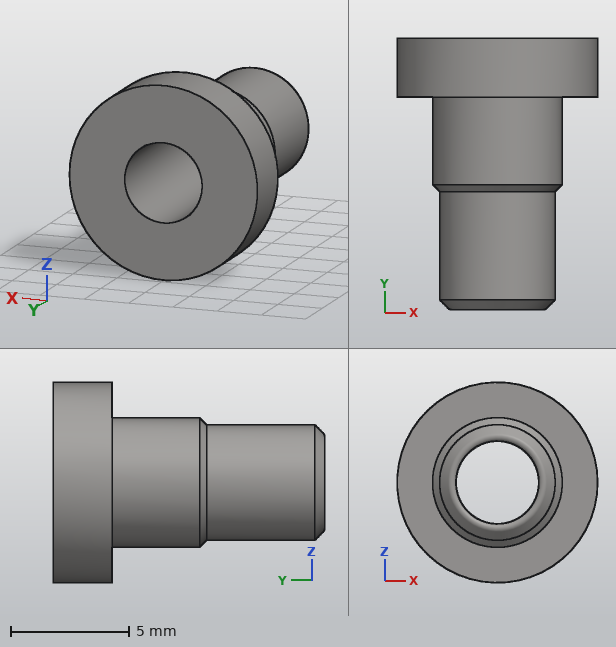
import cadquery as cq
import math

total_length = 11.5
head_diameter = 8.5
head_thickness = 2.5
shoulder_diameter = 5.5
shoulder_length = 4.0
tip_diameter = 4.9
rim_radius = 0.2
bore_diameter = 3.5

head_radius = head_diameter / 2
shoulder_radius = shoulder_diameter / 2
tip_radius = tip_diameter / 2
bore_radius = bore_diameter / 2
step_chamfer = shoulder_radius - tip_radius

rim_center_radius = bore_radius + rim_radius
rim_tangent_offset = rim_radius * math.sin(math.radians(45))
chamfer_end_radius = rim_center_radius + rim_tangent_offset
tip_chamfer = tip_radius - chamfer_end_radius

head_face_y = total_length / 2
head_underside_y = head_face_y - head_thickness
shoulder_end_y = head_underside_y - shoulder_length
tip_end_y = -total_length / 2
rim_center_y = tip_end_y + rim_radius
chamfer_end_y = rim_center_y - rim_tangent_offset

half_section = (
    cq.Workplane("XY")
    .moveTo(bore_radius, head_face_y)
    .lineTo(head_radius, head_face_y)
    .lineTo(head_radius, head_underside_y)
    .lineTo(shoulder_radius, head_underside_y)
    .lineTo(shoulder_radius, shoulder_end_y + step_chamfer)
    .lineTo(tip_radius, shoulder_end_y)
    .lineTo(tip_radius, chamfer_end_y + tip_chamfer)
    .lineTo(chamfer_end_radius, chamfer_end_y)
    .threePointArc((rim_center_radius, tip_end_y), (bore_radius, rim_center_y))
    .close()
)
result = half_section.revolve(360, (0, 0, 0), (0, 1, 0))